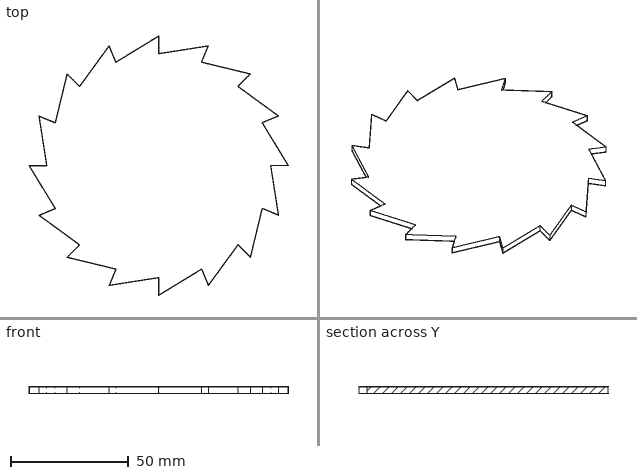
import cadquery as cq
import math

tooth_count = 16
tip_radius = 55.0
root_radius = 47.5
thickness = 3.0


def polar_point(radius, angle):
    return (radius * math.cos(angle), radius * math.sin(angle))


outline = []
for tooth in range(tooth_count):
    angle = 2 * math.pi * tooth / tooth_count
    outline.append(polar_point(root_radius, angle))
    outline.append(polar_point(tip_radius, angle))

result = cq.Workplane("XY").polyline(outline).close().extrude(thickness)